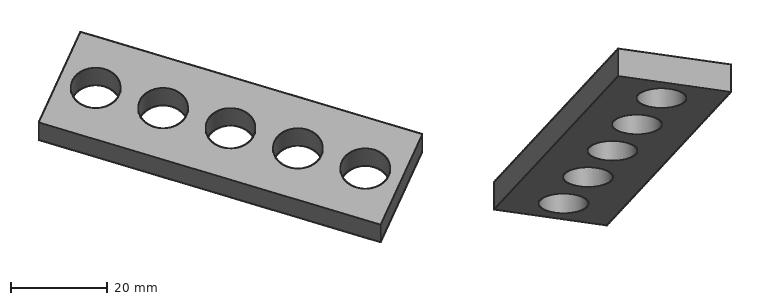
import cadquery as cq

length = 76.0
width = 25.0
thickness = 6.2

hole_count = 5
hole_diameter = 10.4
hole_pitch = 15.0

bar = cq.Workplane("XY").box(length, width, thickness, centered=(True, True, False))

result = (
    bar.faces(">Z")
    .workplane()
    .rarray(hole_pitch, width, hole_count, 1)
    .hole(hole_diameter)
)